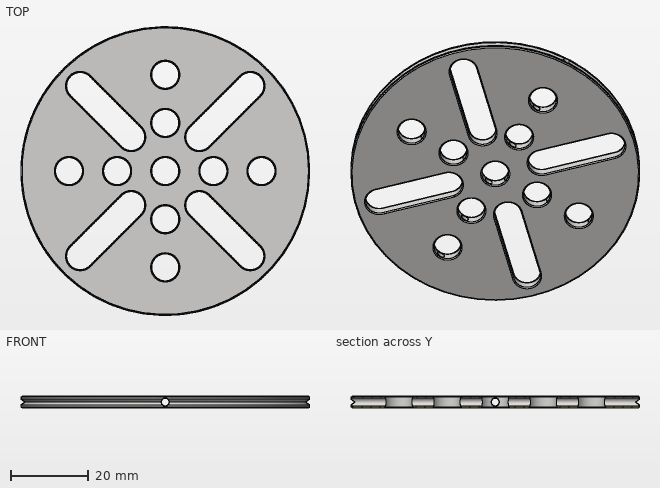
import cadquery as cq

disc_diameter = 75.0
disc_radius = disc_diameter / 2
thickness = 3.12
edge_chamfer = 0.3

rim_land = 0.5
groove_width = thickness - 2 * (edge_chamfer + rim_land)
groove_depth = 1.0

hole_pitch = 12.5
hole_diameter = 7.0
holes_per_arm = 2

slot_width = hole_diameter
slot_inner_radius = hole_pitch
slot_outer_radius = 2.5 * hole_pitch
slot_angles = (45, 135, 225, 315)

cross_hole_diameter = 2.0
cross_hole_length = 1.1 * disc_diameter


def make_disc():
    """Revolved disc with the V-groove in its rim, centred on the origin."""
    half = thickness / 2
    section = cq.Workplane("XZ").polyline([
        (0, -half),
        (disc_radius, -half),
        (disc_radius, -groove_width / 2),
        (disc_radius - groove_depth, 0),
        (disc_radius, groove_width / 2),
        (disc_radius, half),
        (0, half),
    ])
    return section.close().revolve(360, (0, 0, 0), (0, 1, 0))


def hole_positions():
    """Centre hole plus equally spaced holes on the four axis arms."""
    positions = [(0, 0)]
    for step in range(1, holes_per_arm + 1):
        reach = step * hole_pitch
        positions += [(reach, 0), (-reach, 0), (0, reach), (0, -reach)]
    return positions


def make_round_holes():
    holes = cq.Workplane("XY").pushPoints(hole_positions()).circle(hole_diameter / 2)
    return holes.extrude(thickness, both=True)


def make_slot(angle):
    """Radial slot through the disc at the given angle from X."""
    length = slot_outer_radius - slot_inner_radius + slot_width
    middle = (slot_inner_radius + slot_outer_radius) / 2
    slot = cq.Workplane("XY").center(middle, 0).slot2D(length, slot_width)
    return slot.extrude(thickness, both=True).rotate((0, 0, 0), (0, 0, 1), angle)


def make_cross_hole(axis):
    """Bore across the whole disc along a horizontal axis, with its seam clear of the groove bottom."""
    plane = cq.Plane(origin=(0, 0, 0), xDir=(0, 0, 1), normal=axis)
    return cq.Workplane(plane).circle(cross_hole_diameter / 2).extrude(cross_hole_length / 2, both=True)


plate = make_disc().cut(make_round_holes())
for angle in slot_angles:
    plate = plate.cut(make_slot(angle))

result = plate.faces("|Z").edges().chamfer(edge_chamfer)

for axis in ((1, 0, 0), (0, 1, 0)):
    result = result.cut(make_cross_hole(axis))